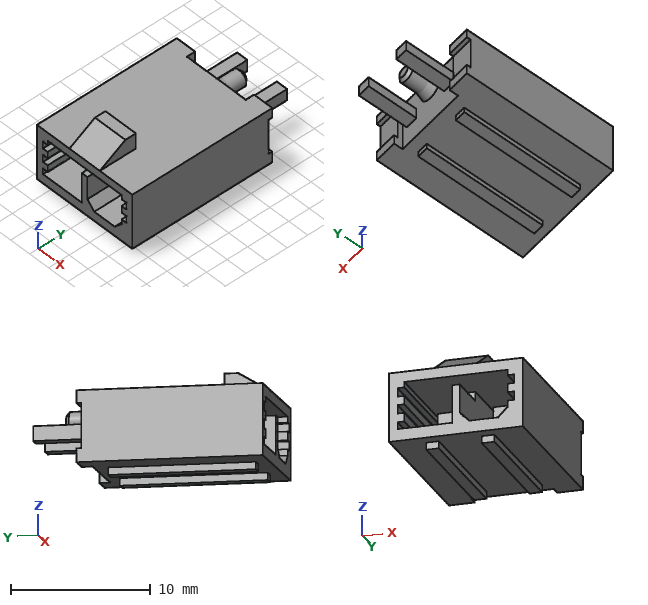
import cadquery as cq

body_width = 10.1
body_height = 5.25
body_depth = 13.6

rear_slot_depth = 0.35
rear_slot_bottom = 1.02
rear_slot_top = 4.32
rear_notch_width = 6.21
rear_notch_depth = 0.8
notch_floor_y = body_depth - rear_notch_depth

pitch = 4.2
contact_width = 1.09
contact_z = 2.68
contact_front_y = 3.8
contact_rear_y = 17.26
cavity_depth = 9.84
cavity_width = 3.6
cavity_bottom = 0.9
cavity_top = 4.45
cavity_chamfer = 0.72
divider_width = pitch - cavity_width
divider_top = 3.76
divider_gap_depth = 3.5

keyway_depth = 0.5
keyway_height = 0.65
upper_keyway_bottom = 3.38
middle_keyway_bottom = 2.09
lower_keyway_top = 1.43

ramp_width = 3.21
ramp_height = 1.47
ramp_length = 3.5
ramp_flat = 1.02

rail_width = 0.95
rail_height = 0.54
rail_front_y = 1.0
rail_rear_y = 11.79

peg_radius = 1.5 / 2
peg_base_radius = 0.98
peg_z = 3.9
peg_cone_end_y = 13.55
peg_end_y = 15.31
peg_chamfer = 0.28


def block(x_range, y_range, z_range):
    """Box given by its limits along each axis."""
    (x0, x1), (y0, y1), (z0, z1) = x_range, y_range, z_range
    return cq.Workplane("XY").box(x1 - x0, y1 - y0, z1 - z0, centered=False).translate((x0, y0, z0))


def centred(middle, size):
    """Limits of a span of the given size about its middle."""
    return (middle - size / 2, middle + size / 2)


def make_housing():
    housing = block(centred(0, body_width), (0, body_depth), (0, body_height))
    side_slot = block(
        centred(0, body_width),
        (body_depth - rear_slot_depth, body_depth),
        (rear_slot_bottom, rear_slot_top),
    )
    centre_notch = block(centred(0, rear_notch_width), (notch_floor_y, body_depth), (0, body_height))
    return housing.cut(side_slot).cut(centre_notch)


def make_cavities():
    depth = (0, cavity_depth)
    height = (cavity_bottom, cavity_top)
    square_cavity = block(centred(-pitch / 2, cavity_width), depth, height)
    keyed_cavity = block(centred(pitch / 2, cavity_width), depth, height)
    keyed_cavity = keyed_cavity.faces("<Z").edges("|Y").chamfer(cavity_chamfer)
    divider_gap = block(centred(0, divider_width), (0, divider_gap_depth), (divider_top, cavity_top))
    cavities = square_cavity.union(keyed_cavity).union(divider_gap)

    inner_x = pitch / 2 + cavity_width / 2
    outer_x = inner_x + keyway_depth
    left = (-outer_x, -inner_x)
    right = (inner_x, outer_x)
    for bottom in (upper_keyway_bottom, middle_keyway_bottom):
        for side in (left, right):
            cavities = cavities.union(block(side, depth, (bottom, bottom + keyway_height)))
    return cavities.union(block(left, depth, (cavity_bottom, lower_keyway_top)))


def make_ramp():
    return (
        cq.Workplane("YZ")
        .moveTo(0, body_height)
        .lineTo(ramp_length, body_height)
        .lineTo(ramp_length, body_height + ramp_height)
        .lineTo(ramp_length - ramp_flat, body_height + ramp_height)
        .close()
        .extrude(ramp_width / 2, both=True)
    )


def make_peg():
    return (
        cq.Workplane("XY")
        .moveTo(0, notch_floor_y)
        .lineTo(peg_base_radius, notch_floor_y)
        .lineTo(peg_radius, peg_cone_end_y)
        .lineTo(peg_radius, peg_end_y - peg_chamfer)
        .lineTo(peg_radius - peg_chamfer, peg_end_y)
        .lineTo(0, peg_end_y)
        .close()
        .revolve(360, (0, 0, 0), (0, 1, 0))
        .translate((0, 0, peg_z))
    )


result = make_housing().cut(make_cavities()).union(make_ramp()).union(make_peg())
for x in (-pitch / 2, pitch / 2):
    contact = block(
        centred(x, contact_width),
        (contact_front_y, contact_rear_y),
        centred(contact_z, contact_width),
    )
    rail = block(centred(x, rail_width), (rail_front_y, rail_rear_y), (-rail_height, 0))
    result = result.union(contact).union(rail)